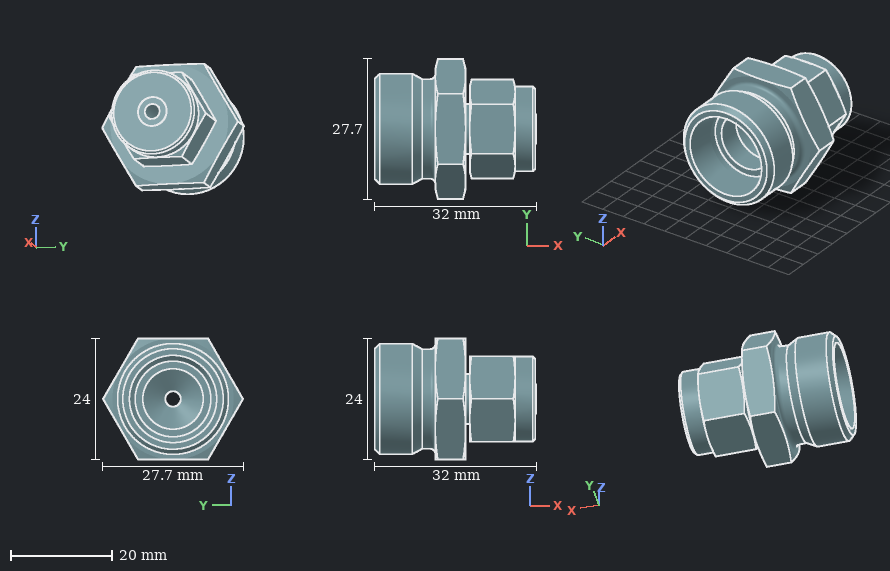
import cadquery as cq
import math

LENGTH = 32.0
THREAD_CHAMFER_END = 1.05
THREAD_END = 7.4
RELIEF_START = 9.4
RELIEF_END = 11.0
BODY_HEX_START = 12.0
BODY_HEX_END = 18.0
NUT_START = 18.8
NUT_HEX_END = 27.78
COLLAR_END = 31.8

THREAD_RADIUS = 10.98
THREAD_TIP_RADIUS = 9.95
RELIEF_RADIUS = 9.9
BODY_HEX_FLATS = 24.0
NECK_RADIUS = 5.0
NUT_HEX_FLATS = 17.0
COLLAR_RADIUS = 8.4
COLLAR_CHAMFER = 0.5
TUBE_RADIUS = 2.9
HEX_CHAMFER_ANGLE = 15.0

MOUTH_RADIUS = 8.65
SOCKET_RADIUS = 7.5
CONE_HALF_ANGLE = 12.0
SOCKET_DEPTH = 7.0
BORE_RADIUS = 6.0
BORE_DEPTH = 12.0
DRILL_HALF_ANGLE = 60.0
HOLE_RADIUS = 1.5


def revolve_about_x(profile):
    """Close an XY profile that begins and ends on the X axis and turn it about that axis."""
    return profile.close().revolve(360, (0, 0, 0), (1, 0, 0))


def cylinder(start, end, radius):
    return cq.Workplane("YZ", origin=(start, 0, 0)).circle(radius).extrude(end - start)


def chamfered_hex(start, end, flats):
    """Hexagon with flats facing +Z and -Z and corners turned down at both ends."""
    flat_radius = flats / 2
    corner_radius = flat_radius / math.cos(math.radians(30))
    setback = (corner_radius - flat_radius) * math.tan(math.radians(HEX_CHAMFER_ANGLE))
    prism = (
        cq.Workplane("YZ", origin=(start, 0, 0))
        .polygon(6, 2 * corner_radius)
        .extrude(end - start)
    )
    turned = revolve_about_x(
        cq.Workplane("XY")
        .moveTo(start, 0)
        .lineTo(start, flat_radius)
        .lineTo(start + setback, corner_radius)
        .lineTo(end - setback, corner_radius)
        .lineTo(end, flat_radius)
        .lineTo(end, 0)
    )
    return prism.intersect(turned)


def threaded_end():
    """Threaded spigot with a lead chamfer, a relief groove and a fillet into the hexagon."""
    fillet = BODY_HEX_START - RELIEF_END
    diagonal = fillet * math.sin(math.radians(45))
    return revolve_about_x(
        cq.Workplane("XY")
        .moveTo(0, 0)
        .lineTo(0, THREAD_TIP_RADIUS)
        .lineTo(THREAD_CHAMFER_END, THREAD_RADIUS)
        .lineTo(THREAD_END, THREAD_RADIUS)
        .lineTo(RELIEF_START, RELIEF_RADIUS)
        .lineTo(RELIEF_END, RELIEF_RADIUS)
        .threePointArc(
            (RELIEF_END + diagonal, RELIEF_RADIUS + fillet - diagonal),
            (BODY_HEX_START, RELIEF_RADIUS + fillet),
        )
        .lineTo(BODY_HEX_START, 0)
    )


def collar():
    """Round end of the nut with a chamfered outer rim."""
    return revolve_about_x(
        cq.Workplane("XY")
        .moveTo(NUT_HEX_END, 0)
        .lineTo(NUT_HEX_END, COLLAR_RADIUS)
        .lineTo(COLLAR_END - COLLAR_CHAMFER, COLLAR_RADIUS)
        .lineTo(COLLAR_END, COLLAR_RADIUS - COLLAR_CHAMFER)
        .lineTo(COLLAR_END, 0)
    )


def bore():
    """Cutter for the tapered mouth, tube socket and drilled bore, leading into the through hole."""
    taper_depth = (MOUTH_RADIUS - SOCKET_RADIUS) / math.tan(math.radians(CONE_HALF_ANGLE))
    drill_tip = (BORE_RADIUS - HOLE_RADIUS) / math.tan(math.radians(DRILL_HALF_ANGLE))
    return revolve_about_x(
        cq.Workplane("XY")
        .moveTo(0, 0)
        .lineTo(0, MOUTH_RADIUS)
        .lineTo(taper_depth, SOCKET_RADIUS)
        .lineTo(SOCKET_DEPTH, SOCKET_RADIUS)
        .lineTo(SOCKET_DEPTH, BORE_RADIUS)
        .lineTo(BORE_DEPTH, BORE_RADIUS)
        .lineTo(BORE_DEPTH + drill_tip, HOLE_RADIUS)
        .lineTo(LENGTH, HOLE_RADIUS)
        .lineTo(LENGTH, 0)
    )


result = (
    threaded_end()
    .union(chamfered_hex(BODY_HEX_START, BODY_HEX_END, BODY_HEX_FLATS))
    .union(cylinder(BODY_HEX_END, NUT_START, NECK_RADIUS))
    .union(chamfered_hex(NUT_START, NUT_HEX_END, NUT_HEX_FLATS))
    .union(collar())
    .union(cylinder(COLLAR_END, LENGTH, TUBE_RADIUS))
    .cut(bore())
)